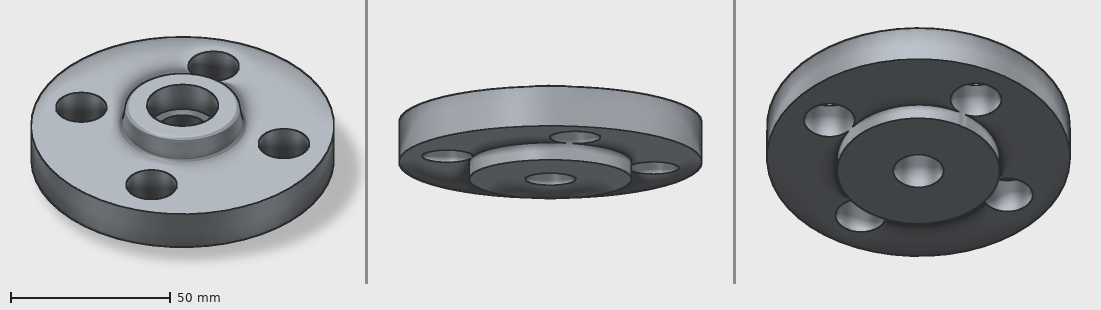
import cadquery as cq

flange_diameter = 95.2
flange_thickness = 12.9
face_diameter = 50.9
face_height = 5.5
hub_height = 7.8
hub_base_diameter = 38.3
hub_top_diameter = 35.6
hub_top_fillet = 1.5
hub_root_fillet = 1.5
bore_diameter = 15.8
socket_diameter = 22.4
socket_depth = 9.5
bolt_hole_diameter = 15.9
bolt_circle_diameter = 66.6
bolt_count = 4

flange_bottom = face_height
flange_top = flange_bottom + flange_thickness
hub_top = flange_top + hub_height


def revolved_body():
    """Sealing face, flange disc and tapered hub as one turned profile."""
    profile = (
        cq.Workplane("XZ")
        .moveTo(0, 0)
        .lineTo(face_diameter / 2, 0)
        .lineTo(face_diameter / 2, flange_bottom)
        .lineTo(flange_diameter / 2, flange_bottom)
        .lineTo(flange_diameter / 2, flange_top)
        .lineTo(hub_base_diameter / 2, flange_top)
        .lineTo(hub_top_diameter / 2, hub_top)
        .lineTo(0, hub_top)
        .close()
    )
    return profile.revolve(360, (0, 0, 0), (0, 1, 0))


def hub_circle(level, diameter):
    """Selector for the hub's edge at one level."""
    margin = 0.1
    reach = diameter / 2 + margin
    return cq.selectors.BoxSelector(
        (-reach, -reach, level - margin), (reach, reach, level + margin), boundingbox=True
    )


def bolt_holes():
    """Through holes on the bolt circle; they just nick the rim of the sealing face."""
    return (
        cq.Workplane("XY")
        .polarArray(bolt_circle_diameter / 2, 0, 360, bolt_count)
        .circle(bolt_hole_diameter / 2)
        .extrude(flange_top)
    )


def stepped_bore():
    """Through bore, opened into a pipe socket at the hub end."""
    bore = cq.Workplane("XY").circle(bore_diameter / 2).extrude(hub_top)
    socket = (
        cq.Workplane("XY", origin=(0, 0, hub_top))
        .circle(socket_diameter / 2)
        .extrude(-socket_depth)
    )
    return bore.union(socket)


body = revolved_body()
body = body.edges(hub_circle(flange_top, hub_base_diameter)).fillet(hub_root_fillet)
body = body.edges(hub_circle(hub_top, hub_top_diameter)).fillet(hub_top_fillet)
result = body.cut(bolt_holes()).cut(stepped_bore())